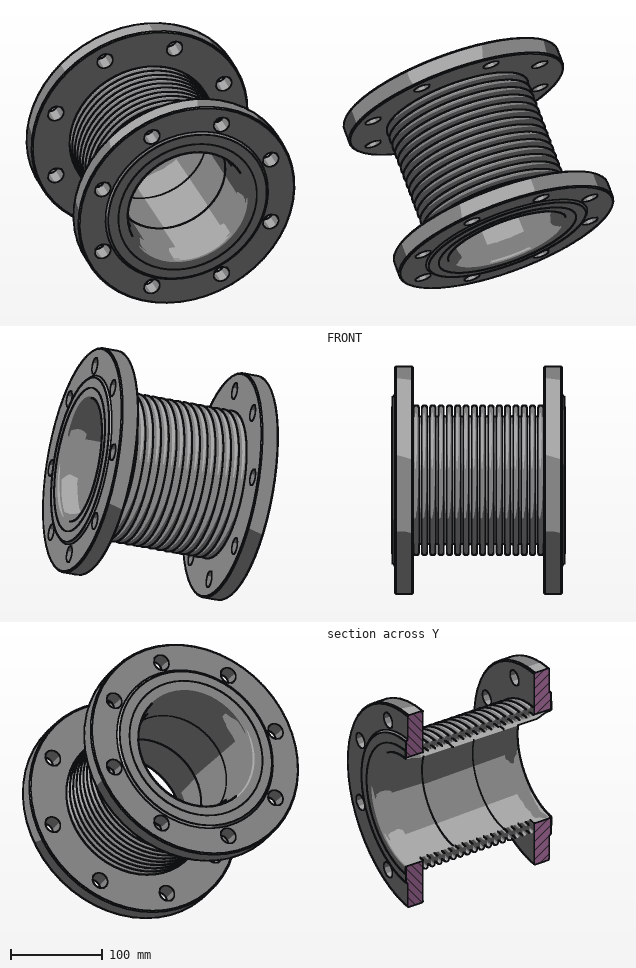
import cadquery as cq
import math

total_length = 190.0
end_x = -total_length / 2
sheet = 0.6
radial_gap = 0.3

bellows_outer_radius = 139.7 / 2
bellows_inner_radius = bellows_outer_radius - sheet
bellows_lap_radius = 91.5
crest_radius = 82.5
convolution_count = 16
convolution_pitch = 9.11
crest_bend = 3.1
trough_bend = convolution_pitch / 2 - crest_bend

liner_lap_radius = 160.0 / 2
mouth_radius = bellows_inner_radius - radial_gap - sheet
mouth_bend = 2.4
taper_start_x = end_x + 4.5
taper_end_x = end_x + 22.0
small_bore_radius = 127.3 / 2
large_bore_radius = small_bore_radius + sheet + radial_gap
liner_length = 128.0

bellows_lap_x = end_x + sheet
flange_front_x = bellows_lap_x + sheet
bellows_bend = mouth_bend - sheet

flange_diameter = 250.0
flange_thickness = 22.0
raised_face_height = 2.0
raised_face_diameter = 188.0
rim_chamfer = 1.4
bore_clearance = 0.5
flange_bore_radius = bellows_outer_radius + bore_clearance
flange_bore_bend = bellows_bend - sheet
bolt_count = 8
bolt_hole_diameter = 18.0
bolt_circle_diameter = 210.0


def revolve_about_x(profile):
    """Revolve a closed profile, whose Z is the radius, a full turn about X."""
    return profile.close().revolve(360, (0, 0, 0), (1, 0, 0))


def arc(path, center, radius, start_angle, end_angle):
    """Append a circular arc that begins where the path ends; angles in radians."""
    points = [
        (center[0] + radius * math.cos(angle), center[1] + radius * math.sin(angle))
        for angle in ((start_angle + end_angle) / 2, end_angle)
    ]
    return path.threePointArc(*points)


def turn_into_tube(path, face_x, tube_radius, bend):
    """Run down a face at face_x and bend a quarter turn into a tube."""
    center = (face_x + bend, tube_radius + bend)
    return arc(path.lineTo(face_x, center[1]), center, bend, math.pi, 1.5 * math.pi)


def turn_out_of_tube(path, face_x, tube_radius, bend):
    """Run along a tube and bend a quarter turn out into a face at face_x."""
    center = (face_x - bend, tube_radius + bend)
    return arc(path.lineTo(center[0], tube_radius), center, bend, -math.pi / 2, 0)


def make_flange():
    """Left flange with a bevelled raised face, a rounded bore mouth and bolt holes."""
    plate_x = flange_front_x + raised_face_height
    back_x = flange_front_x + flange_thickness
    rim = flange_diameter / 2
    profile = (
        cq.Workplane("XZ")
        .moveTo(back_x, flange_bore_radius)
        .lineTo(back_x, rim - rim_chamfer)
        .lineTo(back_x - rim_chamfer, rim)
        .lineTo(plate_x + rim_chamfer, rim)
        .lineTo(plate_x, rim - rim_chamfer)
        .lineTo(plate_x, raised_face_diameter / 2)
        .lineTo(flange_front_x, bellows_lap_radius)
    )
    profile = turn_into_tube(profile, flange_front_x, flange_bore_radius, flange_bore_bend)
    holes = (
        cq.Workplane("YZ", origin=(plate_x, 0, 0))
        .polarArray(bolt_circle_diameter / 2, 180 / bolt_count, 360, bolt_count)
        .circle(bolt_hole_diameter / 2)
        .extrude(flange_thickness)
    )
    return revolve_about_x(profile).cut(holes)


def convolution(path, center_x, root_radius, top_radius, top_bend, root_bend):
    """Append one U-shaped fold with a rounded root on each side."""
    left_x = center_x - top_bend
    right_x = center_x + top_bend
    root_y = root_radius + root_bend
    top_y = top_radius - top_bend
    path = arc(path, (left_x - root_bend, root_y), root_bend, -math.pi / 2, 0)
    path = arc(path.lineTo(left_x, top_y), (center_x, top_y), top_bend, math.pi, math.pi / 2)
    path = arc(path, (center_x, top_y), top_bend, math.pi / 2, 0)
    return arc(
        path.lineTo(right_x, root_y), (right_x + root_bend, root_y), root_bend, math.pi, 1.5 * math.pi
    )


def fill_bellows(inset):
    """Solid filled out to the bellows' outer surface moved inward by inset, without the laps."""
    tube_radius = bellows_outer_radius - inset
    bend = flange_bore_bend + inset
    bend_x = flange_front_x - inset
    first_crest_x = -convolution_pitch * (convolution_count - 1) / 2
    path = turn_into_tube(cq.Workplane("XZ").moveTo(bend_x, 0), bend_x, tube_radius, bend)
    path = path.lineTo(first_crest_x - convolution_pitch / 2, tube_radius)
    for i in range(convolution_count):
        path = convolution(
            path,
            first_crest_x + i * convolution_pitch,
            tube_radius,
            crest_radius - inset,
            crest_bend - inset,
            trough_bend + inset,
        )
    path = turn_out_of_tube(path, -bend_x, tube_radius, bend)
    return revolve_about_x(path.lineTo(-bend_x, 0))


def make_lap(face_x, radius):
    """Disc one sheet thick whose left face is at face_x."""
    return cq.Workplane("YZ", origin=(face_x, 0, 0)).circle(radius).extrude(sheet)


def make_bellows():
    """Thin convoluted tube whose ends fold out over the flange faces."""
    left_lap = make_lap(bellows_lap_x, bellows_lap_radius)
    body = fill_bellows(0).union(left_lap).union(left_lap.mirror("YZ"))
    return body.cut(fill_bellows(sheet))


def fill_liner(offset, bore_radius):
    """Solid filled out to the liner's inner surface moved outward by offset, without the lap."""
    mouth = mouth_radius + offset
    bore = bore_radius + offset
    face_x = end_x + offset
    tip_x = end_x + liner_length
    along_x = (1, 0)
    path = cq.Workplane("XZ").moveTo(face_x, 0)
    path = turn_into_tube(path, face_x, mouth, mouth_bend - offset)
    path = path.lineTo(taper_start_x, mouth).spline(
        [(taper_end_x, bore)], tangents=[along_x, along_x], includeCurrent=True
    )
    return revolve_about_x(path.lineTo(tip_x, bore).lineTo(tip_x, 0))


def make_liner(bore_radius):
    """Left-hand liner: a lap, a rounded mouth and a smooth S-shaped taper down to a plain tube."""
    body = fill_liner(sheet, bore_radius).union(make_lap(end_x, liner_lap_radius))
    return body.cut(fill_liner(0, bore_radius))


left_flange = make_flange()
right_flange = left_flange.mirror("YZ")
bellows = make_bellows()
small_liner = make_liner(small_bore_radius)
large_liner = make_liner(large_bore_radius).mirror("YZ")

result = cq.Compound.makeCompound(
    [
        left_flange.val(),
        right_flange.val(),
        bellows.val(),
        small_liner.val(),
        large_liner.val(),
    ]
)